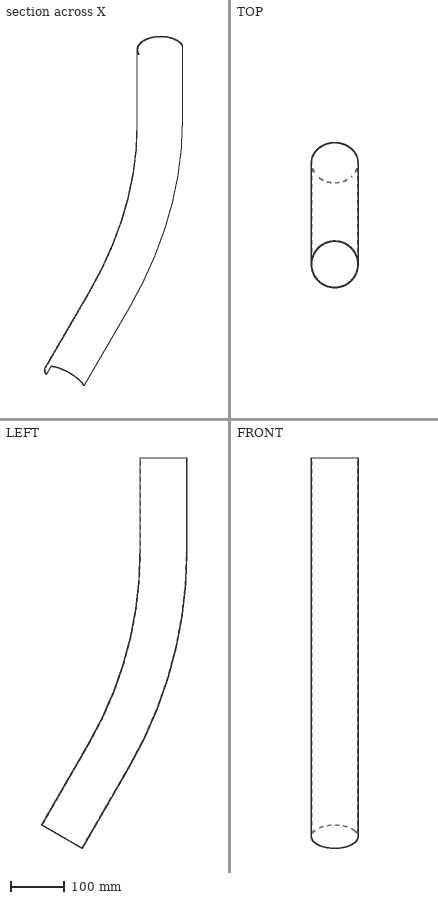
import cadquery as cq
import math

overall_height = 735.0
outer_diameter = 89.0
inner_diameter = 86.0
straight_length = 178.0
bend_angle = 30.0

angle = math.radians(bend_angle)
straight_height = straight_length * (1 + math.cos(angle))
rim_drop = outer_diameter / 2 * math.sin(angle)
bend_radius = (overall_height - straight_height - rim_drop) / math.sin(angle)


def bend_point(turned):
    """Centreline point (Y, Z) after turning by the given angle from vertical."""
    return (
        bend_radius * (1 - math.cos(turned)),
        -straight_length - bend_radius * math.sin(turned),
    )


bend_end_y, bend_end_z = bend_point(angle)
lower_end = (
    bend_end_y + straight_length * math.sin(angle),
    bend_end_z - straight_length * math.cos(angle),
)
centreline = (
    cq.Workplane("YZ")
    .moveTo(0, 0)
    .lineTo(0, -straight_length)
    .threePointArc(bend_point(angle / 2), (bend_end_y, bend_end_z))
    .lineTo(*lower_end)
)

result = (
    cq.Workplane("XY")
    .circle(outer_diameter / 2)
    .circle(inner_diameter / 2)
    .sweep(centreline)
)